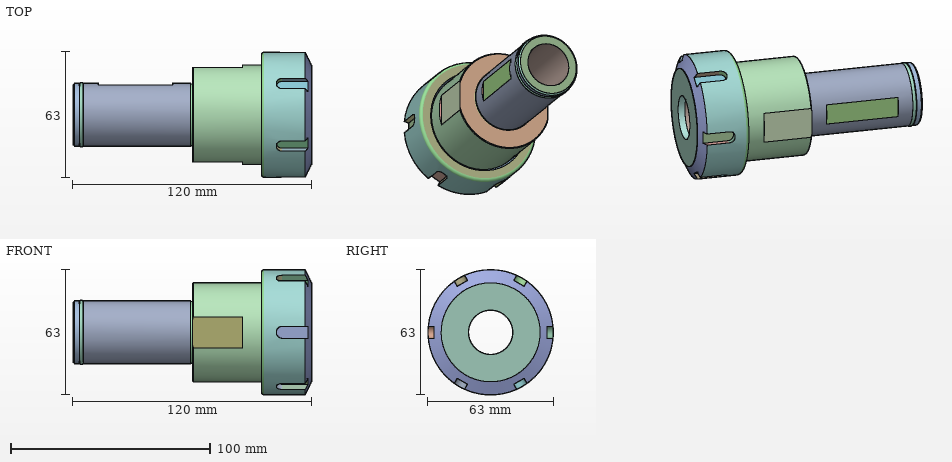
import cadquery as cq
import math

total_length = 120.0
bore_d = 22.1

shank_d = 31.75
shank_length = 60.0
shank_chamfer = 0.8
relief_d = 31.15
relief_length = 1.0
relief_fillet = 0.25
clamp_flat_start = 12.7
clamp_flat_end = 50.0
clamp_flat_y = 15.0

ring_inner_d = 28.91
ring_section_d = 1.78
groove_start = 3.1
groove_end = 5.2
ring_x = (groove_start + groove_end) / 2
ring_mean_r = (ring_inner_d + ring_section_d) / 2

housing_d = 50.0
housing_chamfer = 0.4
wrench_flat_length = 25.0
wrench_flat_across = 47.5

nut_d = 63.0
nut_start = 94.5
nut_edge_fillet = 1.5
nut_mouth_d = 51.76
nut_cone_start = 116.5
nut_front_d = 49.7
nut_lip_length = 0.3
nut_cone_end = total_length - nut_lip_length
nut_pocket_end = nut_cone_start

slot_count = 6
slot_width = 6.0
slot_start = 102.0
slot_floor_x = 118.0
cone_slope = (nut_d - nut_front_d) / 2 / (nut_cone_end - nut_cone_start)
slot_floor_r = nut_d / 2 - cone_slope * (slot_floor_x - nut_cone_start)


def make_body():
    """Shank and housing, turned in one piece with a through bore."""
    bore_r = bore_d / 2
    shank_r = shank_d / 2
    housing_r = housing_d / 2
    relief_r = relief_d / 2
    fillet_mid = relief_fillet * (1 - math.sqrt(0.5))
    body = (
        cq.Workplane("XZ")
        .moveTo(0, bore_r)
        .lineTo(0, shank_r - shank_chamfer)
        .lineTo(shank_chamfer, shank_r)
        .lineTo(groove_start, shank_r)
        .lineTo(groove_start, ring_inner_d / 2)
        .lineTo(groove_end, ring_inner_d / 2)
        .lineTo(groove_end, shank_r)
        .lineTo(shank_length - relief_length, shank_r)
        .lineTo(shank_length - relief_length, relief_r)
        .lineTo(shank_length - relief_fillet, relief_r)
        .threePointArc(
            (shank_length - fillet_mid, relief_r + fillet_mid),
            (shank_length, relief_r + relief_fillet),
        )
        .lineTo(shank_length, housing_r - housing_chamfer)
        .lineTo(shank_length + housing_chamfer, housing_r)
        .lineTo(nut_pocket_end, housing_r)
        .lineTo(nut_pocket_end, bore_r)
        .close()
        .revolve(360, (0, 0, 0), (1, 0, 0))
    )

    clamp_flat = cq.Workplane("XY").box(
        clamp_flat_end - clamp_flat_start, shank_d, shank_d, centered=(False, False, True)
    ).translate((clamp_flat_start, clamp_flat_y, 0))
    body = body.cut(clamp_flat)

    for side in (-1, 1):
        wrench_flat = cq.Workplane("XY").box(
            wrench_flat_length, housing_d, housing_d, centered=(False, True, True)
        ).translate((shank_length, side * (wrench_flat_across + housing_d) / 2, 0))
        body = body.cut(wrench_flat)
    return body


def make_ring():
    """O-ring seated on the floor of the shank groove."""
    return cq.Workplane("XY").center(ring_x, ring_mean_r).circle(ring_section_d / 2).revolve(
        360, (0, -ring_mean_r, 0), (1, -ring_mean_r, 0)
    )


def make_nut():
    """Nut with a pocket for the housing, a conical front and slots around its rim."""
    nut_r = nut_d / 2
    pocket_r = housing_d / 2
    mouth_r = nut_mouth_d / 2
    fillet_mid = nut_edge_fillet * (1 - math.sqrt(0.5))
    nut = (
        cq.Workplane("XZ")
        .moveTo(nut_start, mouth_r)
        .lineTo(nut_start, nut_r - nut_edge_fillet)
        .threePointArc((nut_start + fillet_mid, nut_r - fillet_mid), (nut_start + nut_edge_fillet, nut_r))
        .lineTo(nut_cone_start, nut_r)
        .lineTo(nut_cone_end, nut_front_d / 2)
        .lineTo(total_length, nut_front_d / 2)
        .lineTo(total_length, bore_d / 2)
        .lineTo(nut_pocket_end, bore_d / 2)
        .lineTo(nut_pocket_end, pocket_r)
        .lineTo(nut_start + mouth_r - pocket_r, pocket_r)
        .close()
        .revolve(360, (0, 0, 0), (1, 0, 0))
    )

    round_center_x = slot_start + slot_width / 2
    slot_depth = nut_d / 2
    slot_end = total_length + slot_width
    slot = (
        cq.Workplane("XY", origin=(0, 0, slot_floor_r))
        .moveTo(slot_end, -slot_width / 2)
        .lineTo(round_center_x, -slot_width / 2)
        .threePointArc((slot_start, 0), (round_center_x, slot_width / 2))
        .lineTo(slot_end, slot_width / 2)
        .close()
        .extrude(slot_depth)
    )
    for index in range(slot_count):
        angle = 90 + index * 360 / slot_count
        nut = nut.cut(slot.rotate((0, 0, 0), (1, 0, 0), angle))
    return nut


body = make_body()
ring = make_ring()
nut = make_nut()

result = cq.Compound.makeCompound([body.val(), ring.val(), nut.val()])